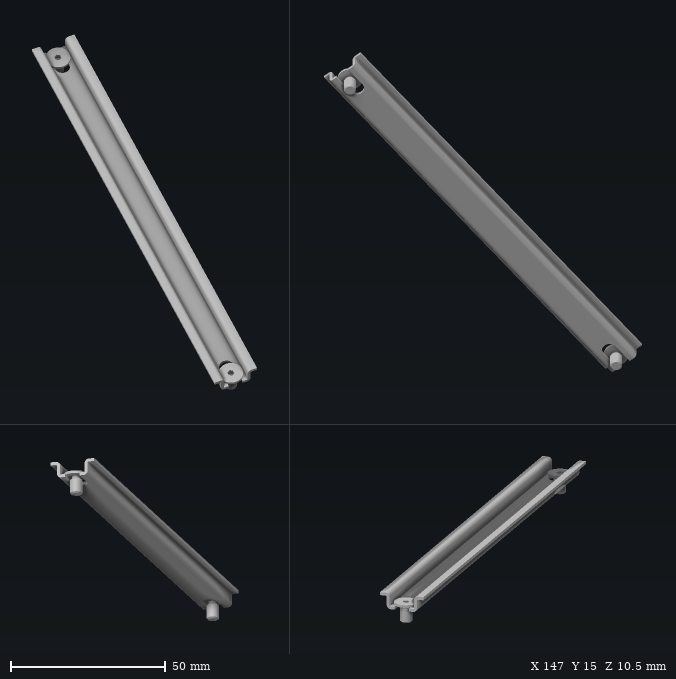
import cadquery as cq

rail_length = 147.0
rail_width = 15.0
rail_height = 5.5
sheet = 1.0
channel_outer_width = 10.5
flange_inner_bend = 0.5
flange_outer_bend = flange_inner_bend + sheet
floor_outer_bend = 1.3

slot_width = 5.0
slot_reach = 9.8

total_height = 10.5
head_diameter = 8.0
screw_end_distance = head_diameter / 2
head_height = 0.9
shank_diameter = 4.0
tip_chamfer = 0.5
neck_diameter = 2.8
shoulder_drop = 0.3
socket_corner_width = 2.4
socket_depth = 1.8

shank_tip_z = rail_height - total_height
shoulder_chamfer = (shank_diameter - neck_diameter) / 2
shank_top_z = shoulder_chamfer - shoulder_drop
end_signs = (-1, 1)


def make_rail():
    half_width = rail_width / 2
    wall_outer = channel_outer_width / 2
    wall_inner = wall_outer - sheet
    flange_underside = rail_height - sheet
    profile = (
        cq.Workplane("YZ", origin=(-rail_length / 2, 0, 0))
        .moveTo(-half_width, rail_height)
        .lineTo(-wall_inner, rail_height)
        .lineTo(-wall_inner, sheet)
        .lineTo(wall_inner, sheet)
        .lineTo(wall_inner, rail_height)
        .lineTo(half_width, rail_height)
        .lineTo(half_width, flange_underside)
        .lineTo(wall_outer, flange_underside)
        .lineTo(wall_outer, 0)
        .lineTo(-wall_outer, 0)
        .lineTo(-wall_outer, flange_underside)
        .lineTo(-half_width, flange_underside)
        .close()
    )
    rail = profile.extrude(rail_length)

    bends = (
        (wall_inner, rail_height, flange_outer_bend),
        (wall_outer, flange_underside, flange_inner_bend),
        (wall_outer, 0, floor_outer_bend),
    )
    for side in end_signs:
        for y, z, radius in bends:
            bend_edge = cq.selectors.NearestToPointSelector((0, side * y, z))
            rail = rail.edges(bend_edge).fillet(radius)

    for end in end_signs:
        rail = rail.cut(make_end_slot(end))
    return rail


def make_end_slot(end):
    radius = slot_width / 2
    end_x = end * rail_length / 2
    arc_x = end_x - end * (slot_reach - radius)
    return (
        cq.Workplane("XY")
        .moveTo(end_x, -radius)
        .lineTo(arc_x, -radius)
        .threePointArc((end_x - end * slot_reach, 0), (arc_x, radius))
        .lineTo(end_x, radius)
        .close()
        .extrude(sheet)
    )


def make_screw(x):
    """Screw whose head rests on the rail floor, with its shank through the slot."""
    neck = (
        cq.Workplane("XY", origin=(x, 0, shank_top_z))
        .circle(neck_diameter / 2)
        .extrude(sheet - shank_top_z)
    )
    shank = (
        cq.Workplane("XY", origin=(x, 0, shank_tip_z))
        .circle(shank_diameter / 2)
        .extrude(shank_top_z - shank_tip_z)
        .faces("<Z")
        .chamfer(tip_chamfer)
        .faces(">Z")
        .chamfer(shoulder_chamfer)
    )
    head = (
        cq.Workplane("XY", origin=(x, 0, sheet))
        .circle(head_diameter / 2)
        .extrude(head_height)
    )
    socket = (
        cq.Workplane("XY", origin=(x, 0, sheet + head_height - socket_depth))
        .polygon(6, socket_corner_width)
        .extrude(socket_depth)
    )
    return shank.union(neck).union(head).cut(socket)


rail = make_rail()
screws = [make_screw(end * (rail_length / 2 - screw_end_distance)) for end in end_signs]
result = cq.Compound.makeCompound([rail.val(), *[screw.val() for screw in screws]])